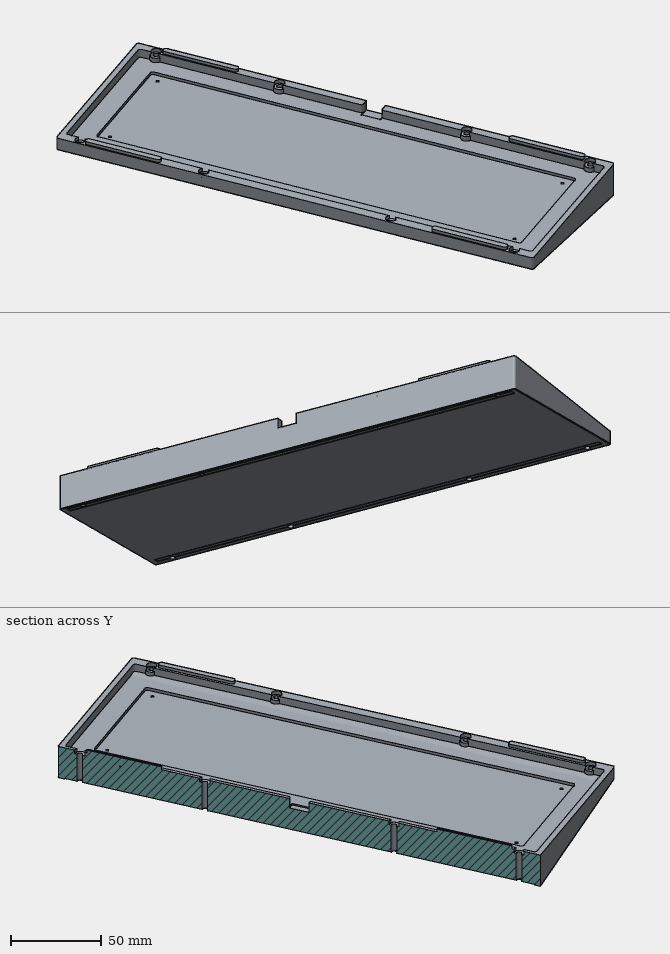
import cadquery as cq

length = 292.0
width = 107.2
rim_z = 21.0
front_bottom_z = 13.0
corner_radius = 1.5
underside_chamfer = 0.45
underside_slope = front_bottom_z / width

groove_length = 284.5
groove_width = 3.5
groove_depth = 0.45
front_groove_distance = 5.8
back_groove_distance = 4.0

side_wall = 3.5
back_wall = 5.3
front_wall = 5.8
cavity_depth = 5.3
cavity_corner_radius = 1.5
ramp_width = 5.0

tray_length = 260.0
tray_width = 73.0
tray_center_y = 1.2
tray_depth = 1.8
tray_corner_radius = 1.5
pin_hole_diameter = 1.65
pin_hole_depth = 1.8
pin_span_x = 247.7
pin_span_y = 62.8

screw_positions_x = (-133.0, -57.3, 57.3, 133.0)
screw_edge_distance = 3.65
screw_diameter = 3.2
counterbore_diameter = 5.8
counterbore_depth = 2.3
boss_diameter = 7.0
boss_overlap = 0.3

tongue_length = 46.2
tongue_thickness = 3.5
tongue_height = 1.8
tongue_center_x = 106.0
tongue_edge_distance = 2.5

notch_width = 11.7
notch_corner_radius = 1.2
notch_length = 7.0
notch_step_depth = 1.0

front_y = -width / 2
back_y = width / 2
floor_z = rim_z - cavity_depth
cavity_front_y = front_y + front_wall
cavity_back_y = back_y - back_wall
cavity_length = length - 2 * side_wall
screw_points = [
    (x, side * (width / 2 - screw_edge_distance)) for x in screw_positions_x for side in (-1, 1)
]


def extrude_side_profile(points, span):
    """Extrude a closed (Y, Z) profile along X, centred on X = 0."""
    return cq.Workplane("YZ").polyline(points).close().extrude(span / 2, both=True)


def make_wedge():
    profile = [(front_y, front_bottom_z), (back_y, 0), (back_y, rim_z), (front_y, rim_z)]
    block = extrude_side_profile(profile, length).edges("|Z").fillet(corner_radius)
    return block.faces("<Z").edges().chamfer(underside_chamfer)


def make_cavity():
    ramp_rise = ramp_width * underside_slope
    profile = [
        (cavity_front_y, floor_z + ramp_rise),
        (cavity_front_y + ramp_width, floor_z),
        (cavity_back_y, floor_z),
        (cavity_back_y, rim_z),
        (cavity_front_y, rim_z),
    ]
    return extrude_side_profile(profile, cavity_length).edges("|Z").fillet(cavity_corner_radius)


def make_tray():
    tray = (
        cq.Workplane(origin=(0, tray_center_y, floor_z))
        .rect(tray_length, tray_width)
        .extrude(-tray_depth)
        .edges("|Z")
        .fillet(tray_corner_radius)
    )
    pin_holes = (
        cq.Workplane(origin=(0, tray_center_y, floor_z - tray_depth))
        .rect(pin_span_x, pin_span_y, forConstruction=True)
        .vertices()
        .circle(pin_hole_diameter / 2)
        .extrude(-pin_hole_depth)
    )
    return tray.union(pin_holes)


def make_screw_cylinders(diameter, bottom_z, top_z):
    return (
        cq.Workplane(origin=(0, 0, bottom_z))
        .pushPoints(screw_points)
        .circle(diameter / 2)
        .extrude(top_z - bottom_z)
    )


def make_tongues():
    points = [
        (x, side * (width / 2 - tongue_edge_distance))
        for x in (-tongue_center_x, tongue_center_x)
        for side in (-1, 1)
    ]
    return (
        cq.Workplane(origin=(0, 0, rim_z))
        .pushPoints(points)
        .slot2D(tongue_length, tongue_thickness)
        .extrude(tongue_height)
    )


def make_notch():
    """Notch through the back wall, reaching past it as a shallow step in the floor."""
    return (
        cq.Workplane(origin=(0, back_y - notch_length / 2, rim_z))
        .rect(notch_width, notch_length)
        .extrude(-cavity_depth - notch_step_depth)
    )


def round_notch_corners(body):
    """Round the upright edges where the notch meets the inner side of the back wall."""
    corners = cq.selectors.BoxSelector(
        (-notch_width, cavity_back_y - notch_corner_radius, floor_z),
        (notch_width, cavity_back_y + notch_corner_radius, rim_z),
    )
    return body.edges("|Z").edges(corners).fillet(notch_corner_radius)


def make_groove(center_y):
    """Shallow groove in the sloped underside, running along X."""
    ends = (center_y - groove_width / 2, center_y + groove_width / 2)
    roof = [(y, (back_y - y) * underside_slope + groove_depth) for y in ends]
    profile = [(ends[0], -groove_depth), (ends[1], -groove_depth), roof[1], roof[0]]
    return extrude_side_profile(profile, groove_length)


counterbore_z = rim_z - counterbore_depth
body = (
    make_wedge()
    .cut(make_cavity())
    .cut(make_tray())
    .union(make_screw_cylinders(boss_diameter, floor_z - boss_overlap, counterbore_z))
    .union(make_tongues())
    .cut(make_screw_cylinders(counterbore_diameter, counterbore_z, rim_z))
    .cut(make_screw_cylinders(screw_diameter, 0, rim_z))
    .cut(make_notch())
    .cut(make_groove(front_y + front_groove_distance))
    .cut(make_groove(back_y - back_groove_distance))
)
result = round_notch_corners(body)